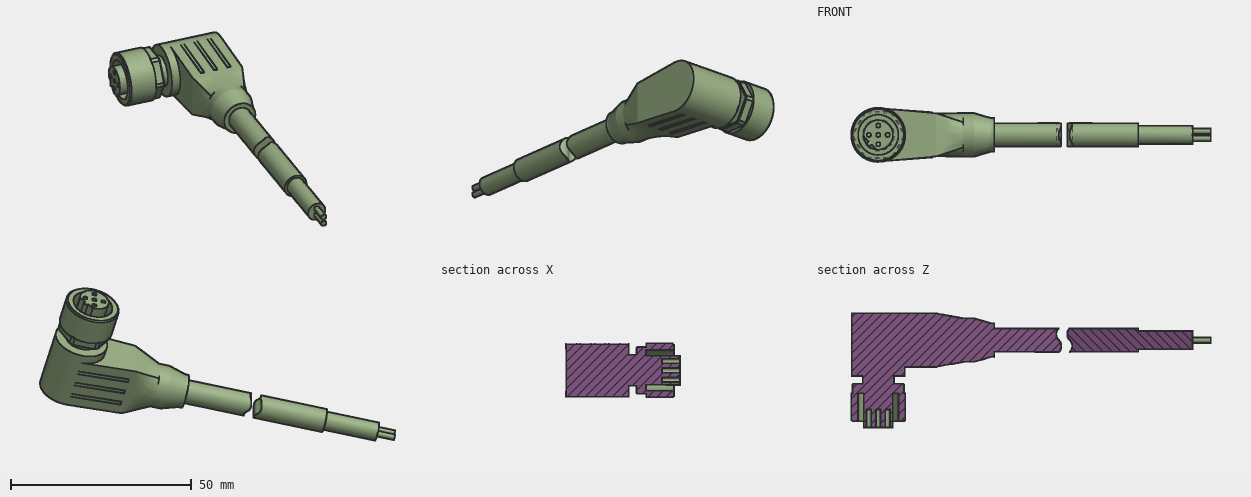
import cadquery as cq
import math


HEAD_RADIUS = 7.4
HEAD_BACK_Y = 7.5
HEAD_FRONT_Y = -10.0
BLOCK_END_X = 16.0
BLOCK_HALF_WIDTH = HEAD_BACK_Y
BLOCK_END_HALF_HEIGHT = 6.0

RIB_COUNT = 3
RIB_PITCH = 4.0
RIB_WIDTH = 1.0
RIB_END_HEIGHT = 0.2
RIB_END_MARGIN = 1.1

COLLAR_START_X = 23.5
COLLAR_END_X = 26.5
COLLAR_RADIUS = 6.1
TAPER_END_X = 31.3
RELIEF_END_X = 32.2
RELIEF_END_RADIUS = 4.7
TRANSITION_EDGE_ANGLE = 35

NECK_RADIUS = 4.4
HEX_BACK_Y = -12.1
NUT_BACK_Y = -14.7
NUT_FRONT_Y = -22.5
HEX_ACROSS_FLATS = 12.9
HEX_CORNER_RADIUS = 7.2
HEX_TURN = 30
HEX_CHAMFER = 0.3
NUT_DIAMETER = 15.0
NUT_RADIUS = NUT_DIAMETER / 2
NUT_CHAMFER = 0.4
NUT_BORE_RADIUS = 5.6

INSERT_FRONT_Y = -24.2
INSERT_RADIUS = 4.1
CONTACT_DIAMETER = 1.2
CONTACT_OFFSET = 2.6
CONTACT_DEPTH = 5.0
KEY_FLAT_DISTANCE = 3.2
KEY_CUT_LENGTH = 5.0
KEY_RIB_RADIUS = 0.6
KEY_ANGLE = 225

CABLE_RADIUS = 3.3
BREAK_X = 50.0
BREAK_GAP = 3.0
BREAK_WAVE = 0.7
JACKET_END_X = 72.0
CORE_RADIUS = 2.6
CORE_END_X = 87.1
WIRE_RADIUS = 0.8
WIRE_OFFSET = 1.0
OVERALL_LENGTH = 99.6
WIRE_END_X = OVERALL_LENGTH - NUT_RADIUS


def cylinder_y(radius, back_y, front_y):
    """Cylinder on the plug axis, reaching from back_y toward -Y."""
    return cq.Workplane("XZ", origin=(0, back_y, 0)).circle(radius).extrude(back_y - front_y)


def cylinder_x(radius, start_x, end_x, z=0):
    """Cylinder parallel to the cable axis, at height z."""
    return cq.Workplane("YZ", origin=(start_x, 0, z)).circle(radius).extrude(end_x - start_x)



def wall_tilt():
    """Slope angle of the block faces that run tangent to the head."""
    corner_distance = math.hypot(BLOCK_END_X, BLOCK_END_HALF_HEIGHT)
    corner_angle = math.atan2(BLOCK_END_HALF_HEIGHT, BLOCK_END_X)
    return math.pi / 2 - corner_angle - math.acos(HEAD_RADIUS / corner_distance)


def make_block():
    tilt = wall_tilt()
    tangent_x = HEAD_RADIUS * math.sin(tilt)
    tangent_z = HEAD_RADIUS * math.cos(tilt)
    return (
        cq.Workplane("XZ", origin=(0, BLOCK_HALF_WIDTH, 0))
        .moveTo(tangent_x, tangent_z)
        .lineTo(BLOCK_END_X, BLOCK_END_HALF_HEIGHT)
        .lineTo(BLOCK_END_X, -BLOCK_END_HALF_HEIGHT)
        .lineTo(tangent_x, -tangent_z)
        .close()
        .extrude(2 * BLOCK_HALF_WIDTH)
    )


def make_grip_ribs():
    """Wedge ribs rising from the tangent lines of the head, on the upper and lower sloping faces."""
    tilt = wall_tilt()
    start_x = HEAD_RADIUS * math.sin(tilt)
    start_z = HEAD_RADIUS * math.cos(tilt)
    end_x = BLOCK_END_X - RIB_END_MARGIN
    face_end_z = start_z - (end_x - start_x) * math.tan(tilt)
    ribs = cq.Workplane("XY")
    for i in range(RIB_COUNT):
        rib_y = (i - (RIB_COUNT - 1) / 2) * RIB_PITCH
        rib = (
            cq.Workplane("XZ", origin=(0, rib_y + RIB_WIDTH / 2, 0))
            .moveTo(start_x, start_z)
            .lineTo(end_x, face_end_z + RIB_END_HEIGHT)
            .lineTo(end_x, 0)
            .lineTo(start_x, 0)
            .close()
            .extrude(RIB_WIDTH)
        )
        ribs = ribs.add(rib).add(rib.mirror("XY"))
    return ribs.combine()



def make_transition():
    """Ruled loft from the rectangular block end to the round collar."""
    corners = [
        cq.Vector(BLOCK_END_X, side_y * BLOCK_HALF_WIDTH, side_z * BLOCK_END_HALF_HEIGHT)
        for side_y, side_z in ((1, 1), (-1, 1), (-1, -1), (1, -1))
    ]

    edge = math.radians(TRANSITION_EDGE_ANGLE)
    edge_angles = [edge, math.pi - edge, math.pi + edge, 2 * math.pi - edge]

    def collar_point(angle):
        return cq.Vector(COLLAR_START_X, COLLAR_RADIUS * math.cos(angle), COLLAR_RADIUS * math.sin(angle))

    lines = []
    arcs = []
    for i in range(4):
        following = (i + 1) % 4
        lines.append(cq.Edge.makeLine(corners[i], corners[following]))
        middle_angle = (i + 1) * math.pi / 2
        arcs.append(
            cq.Edge.makeThreePointArc(
                collar_point(edge_angles[i]),
                collar_point(middle_angle),
                collar_point(edge_angles[following]),
            )
        )
    outlines = [cq.Wire.assembleEdges(lines), cq.Wire.assembleEdges(arcs)]
    return cq.Workplane(obj=cq.Solid.makeLoft(outlines, True))


def make_sleeve():
    """Round collar, taper and end ring, turned about the cable axis."""
    return (
        cq.Workplane("XY")
        .moveTo(COLLAR_START_X, 0)
        .lineTo(COLLAR_START_X, COLLAR_RADIUS)
        .lineTo(COLLAR_END_X, COLLAR_RADIUS)
        .lineTo(TAPER_END_X, RELIEF_END_RADIUS)
        .lineTo(RELIEF_END_X, RELIEF_END_RADIUS)
        .lineTo(RELIEF_END_X, 0)
        .close()
        .revolve(360, (0, 0, 0), (1, 0, 0))
    )



def make_nut():
    hexagon = (
        cq.Workplane("XZ", origin=(0, HEX_BACK_Y, 0))
        .polygon(6, HEX_ACROSS_FLATS, circumscribed=True)
        .extrude(HEX_BACK_Y - NUT_BACK_Y)
        .rotate((0, 0, 0), (0, 1, 0), HEX_TURN)
    )
    rounding = cylinder_y(HEX_CORNER_RADIUS, HEX_BACK_Y, NUT_BACK_Y)
    hexagon = hexagon.intersect(rounding).faces(">Y").chamfer(HEX_CHAMFER)
    ring = cylinder_y(NUT_RADIUS, NUT_BACK_Y, NUT_FRONT_Y).faces("<Y").chamfer(NUT_CHAMFER)
    bore = cylinder_y(NUT_BORE_RADIUS, NUT_BACK_Y, NUT_FRONT_Y)
    return hexagon.union(ring.cut(bore))


def make_key_cut():
    """Flat on the insert rim, with a round-nosed key rib left standing on it."""
    cut_back_y = INSERT_FRONT_Y + KEY_CUT_LENGTH
    plane = cq.Workplane("XZ", origin=(0, cut_back_y, 0))
    flat = (
        plane.center(KEY_FLAT_DISTANCE + INSERT_RADIUS / 2, 0)
        .rect(INSERT_RADIUS, 2 * INSERT_RADIUS)
        .extrude(KEY_CUT_LENGTH)
    )
    nose_x = INSERT_RADIUS - KEY_RIB_RADIUS
    nose = plane.center(nose_x, 0).circle(KEY_RIB_RADIUS).extrude(KEY_CUT_LENGTH)
    web = plane.center(nose_x / 2, 0).rect(nose_x, 2 * KEY_RIB_RADIUS).extrude(KEY_CUT_LENGTH)
    return flat.cut(nose).cut(web).rotate((0, 0, 0), (0, -1, 0), KEY_ANGLE)


def make_insert():
    contacts = [
        (0, 0),
        (CONTACT_OFFSET, 0),
        (-CONTACT_OFFSET, 0),
        (0, CONTACT_OFFSET),
        (0, -CONTACT_OFFSET),
    ]
    contact_holes = (
        cq.Workplane("XZ", origin=(0, INSERT_FRONT_Y + CONTACT_DEPTH, 0))
        .pushPoints(contacts)
        .circle(CONTACT_DIAMETER / 2)
        .extrude(CONTACT_DEPTH)
    )
    insert = cylinder_y(INSERT_RADIUS, NUT_BACK_Y, INSERT_FRONT_Y)
    return insert.cut(contact_holes).cut(make_key_cut())



def make_cable(start_x, end_x, wave_on_end):
    """Length of cable with a wavy break at one end and a plain cut at the other."""
    break_x, plain_x = (end_x, start_x) if wave_on_end else (start_x, end_x)
    outline = (
        cq.Workplane("XY", origin=(0, 0, -CABLE_RADIUS))
        .moveTo(plain_x, CABLE_RADIUS)
        .lineTo(break_x, CABLE_RADIUS)
        .threePointArc((break_x - BREAK_WAVE, CABLE_RADIUS / 2), (break_x, 0))
        .threePointArc((break_x + BREAK_WAVE, -CABLE_RADIUS / 2), (break_x, -CABLE_RADIUS))
        .lineTo(plain_x, -CABLE_RADIUS)
        .close()
        .extrude(2 * CABLE_RADIUS)
    )
    round_cable = cylinder_x(CABLE_RADIUS, start_x - BREAK_WAVE, end_x + BREAK_WAVE)
    return round_cable.intersect(outline)



def make_connector():
    """Moulded plug with its coupling nut and the attached length of cable."""
    return (
        cylinder_y(HEAD_RADIUS, HEAD_BACK_Y, HEAD_FRONT_Y)
        .union(make_block())
        .union(make_grip_ribs())
        .union(make_transition())
        .union(make_sleeve())
        .union(make_cable(RELIEF_END_X, BREAK_X, wave_on_end=True))
        .union(cylinder_y(NECK_RADIUS, HEAD_FRONT_Y, HEX_BACK_Y))
        .union(make_nut())
        .union(make_insert())
    )


def make_cable_end():
    """Free end of the cable, stripped in steps down to two wires."""
    cable_end = make_cable(BREAK_X + BREAK_GAP, JACKET_END_X, wave_on_end=False)
    cable_end = cable_end.union(cylinder_x(CORE_RADIUS, JACKET_END_X, CORE_END_X))
    for wire_z in (-WIRE_OFFSET, WIRE_OFFSET):
        cable_end = cable_end.union(cylinder_x(WIRE_RADIUS, CORE_END_X, WIRE_END_X, wire_z))
    return cable_end


connector = make_connector()
cable_end = make_cable_end()
result = cq.Compound.makeCompound([connector.val(), cable_end.val()])